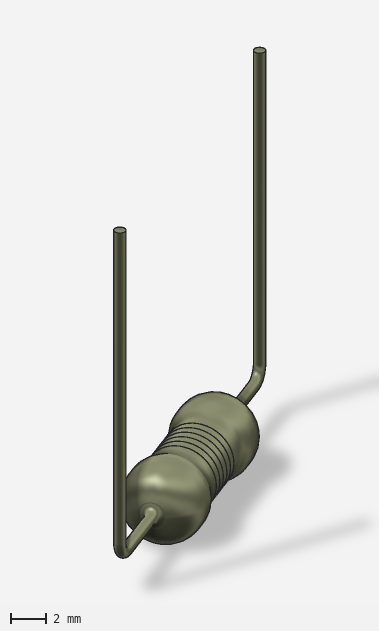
import cadquery as cq

total_height = 23.6
total_length = 23.2
body_radius = 5.0 / 2
wire_radius = 0.7 / 2

waist_radius = 4.25 / 2
waist_end = 2.05
neck_length = 0.7
rim_start = waist_end + 2 * neck_length
rim_end = 4.2
body_end = 6.0

flare_radius = 0.5

band_radius = 4.27 / 2
band_width = 0.57
band_pitch = 2 * band_width

bend_radius = 1.0
leg_y = total_length / 2 - wire_radius
leg_top = total_height - body_radius


def make_half_body():
    """Revolve one half of the body, from its middle to the tip of the wire flare."""
    mid_neck = ((waist_radius + body_radius) / 2, waist_end + neck_length)
    flare_base = (wire_radius + flare_radius, body_end)
    flare_tip = (wire_radius, body_end + flare_radius)
    profile = (
        cq.Workplane("XY")
        .lineTo(waist_radius, 0)
        .lineTo(waist_radius, waist_end)
        .tangentArcPoint(mid_neck, relative=False)
        .tangentArcPoint((body_radius, rim_start), relative=False)
        .lineTo(body_radius, rim_end)
        .tangentArcPoint(flare_base, relative=False)
        .radiusArc(flare_tip, flare_radius)
        .lineTo(0, body_end + flare_radius)
        .close()
    )
    return profile.revolve(360, (0, 0, 0), (0, 1, 0))


def make_band(center_y):
    """Raised colour band centred at the given place along the body."""
    return (
        cq.Workplane("XZ", origin=(0, center_y + band_width / 2, 0))
        .circle(band_radius)
        .extrude(band_width)
    )


def make_lead():
    """Wire running out of the body along +Y and bending up to a vertical leg."""
    path = (
        cq.Workplane("YZ")
        .moveTo(body_end, 0)
        .lineTo(leg_y - bend_radius, 0)
        .tangentArcPoint((leg_y, bend_radius), relative=False)
        .lineTo(leg_y, leg_top)
    )
    section = cq.Workplane("XZ", origin=(0, body_end, 0)).circle(wire_radius)
    return section.sweep(path)


half = make_half_body().union(make_lead())
result = half.union(half.mirror("XZ"))
for step in (-1, 0, 1):
    result = result.union(make_band(step * band_pitch))